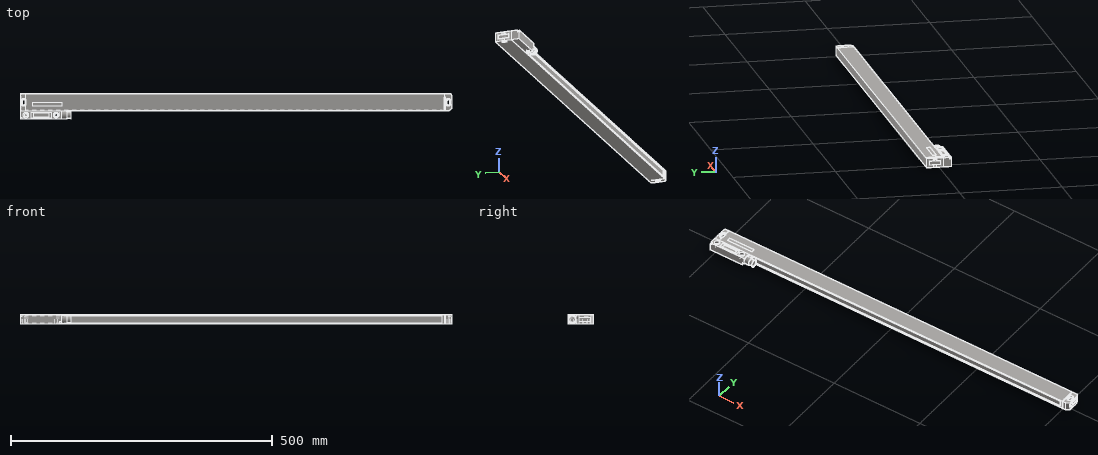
import cadquery as cq

LENGTH = 825.0
HEIGHT = 18.0
SCALE_WIDTH = 33.0
HEAD_WIDTH = 16.0
MID_HEIGHT = HEIGHT / 2
SCALE_MID_Y = SCALE_WIDTH / 2
HEAD_MID_Y = -HEAD_WIDTH / 2

LEFT_CAP = 10.0
RIGHT_CAP = 13.0
SEAM = 0.4
LEFT_CHAMFER_X = 1.0
LEFT_CHAMFER_Y = 5.0
RIGHT_CHAMFER_X = 2.5
RIGHT_CHAMFER_Y = 5.0
FRONT_CHAMFER_X = 7.0

SLOT_LENGTH = 10.0
SLOT_WIDTH = 5.0
SLOT_INSET = 7.0
RIGHT_SLOT_INSET = 7.5
RECESS_LENGTH = 15.0
RECESS_WIDTH = 9.0
RECESS_DEPTH = 3.0

END_GROOVE_LENGTH = 21.5
END_GROOVE_HEIGHT = 7.5
END_RELIEF_WIDTH = 6.0
END_GROOVE_DEPTH = 2.0
END_RELIEF_DEPTH = 0.4
END_RELIEF_MARGIN = 1.0

CHANNEL_LIP = 2.5
CHANNEL_DEPTH = 2.0
CHANNEL_END = 805.0
GAP_LENGTH = 2.0
GAP_DEPTH = 26.0
LABEL_START = 23.0
LABEL_LENGTH = 57.0
LABEL_FRONT = 9.0
LABEL_WIDTH = 7.5
LABEL_DEPTH = 0.4

HEAD_LENGTH = 79.0
HEAD_NOTCH_LENGTH = 4.0
HEAD_NOTCH_HEIGHT = 5.0
HEAD_CORNER = 3.0
HEAD_HOLE_INSET = 11.0
HEAD_HOLE_DIAMETER = 6.0
HEAD_BORE_DIAMETER = 11.0
HEAD_BORE_DEPTH = 7.0
HEAD_BLIND_DEPTH = 15.0
PANEL_START = 21.0
PANEL_LENGTH = 39.0
PANEL_WIDTH = 11.0
PANEL_FLOOR_LENGTH = 29.0
PANEL_FLOOR_WIDTH = 7.5
PANEL_STEP = 1.0

COLLAR_DIAMETER = 16.0
COLLAR_LENGTH = 10.0
NECK_DIAMETER = 12.0
NECK_LENGTH = 7.5
FLANGE_LENGTH = 1.0


def block(x, y, z, dx, dy, dz):
    """Box with its lowest corner at (x, y, z)."""
    return cq.Workplane("XY").box(dx, dy, dz, centered=False).translate((x, y, z))


def slot_cut(x, length, width, depth):
    """Slot lengthwise along Y, cut down from the top at the middle of the scale."""
    return (
        cq.Workplane("XY", origin=(x, SCALE_MID_Y, HEIGHT - depth))
        .slot2D(length, width, 90)
        .extrude(depth)
    )


def scale_blank():
    """Plan outline with chamfered ends, extruded to full height."""
    outline = [
        (0, LEFT_CHAMFER_Y),
        (LEFT_CHAMFER_X, 0),
        (LENGTH - FRONT_CHAMFER_X, 0),
        (LENGTH, RIGHT_CHAMFER_Y),
        (LENGTH, SCALE_WIDTH - RIGHT_CHAMFER_Y),
        (LENGTH - RIGHT_CHAMFER_X, SCALE_WIDTH),
        (LEFT_CHAMFER_X, SCALE_WIDTH),
        (0, SCALE_WIDTH - LEFT_CHAMFER_Y),
    ]
    return cq.Workplane("XY").polyline(outline).close().extrude(HEIGHT)


def seam_cut(x):
    """Fine seam in the top and front faces where a cap meets the extrusion."""
    top = block(x, 0, HEIGHT - SEAM, SEAM, SCALE_WIDTH, SEAM)
    front = block(x, 0, 0, SEAM, SEAM, HEIGHT)
    return top.union(front)


def end_groove_cut(x):
    """Groove along Y at mid height of an end face."""
    return block(
        x, SCALE_MID_Y - END_GROOVE_LENGTH / 2, MID_HEIGHT - END_GROOVE_HEIGHT / 2,
        END_GROOVE_DEPTH, END_GROOVE_LENGTH, END_GROOVE_HEIGHT,
    )


def make_scale():
    body = scale_blank()
    right_cap_x = LENGTH - RIGHT_CAP

    body = body.cut(seam_cut(LEFT_CAP)).cut(seam_cut(right_cap_x - GAP_LENGTH))

    for slot_x in (SLOT_INSET, LENGTH - RIGHT_SLOT_INSET):
        body = body.cut(slot_cut(slot_x, SLOT_LENGTH, SLOT_WIDTH, HEIGHT))
        body = body.cut(slot_cut(slot_x, RECESS_LENGTH, RECESS_WIDTH, RECESS_DEPTH))

    for groove_x in (0, LENGTH - END_GROOVE_DEPTH):
        body = body.cut(end_groove_cut(groove_x))

    end_relief = block(
        0, SCALE_MID_Y - END_RELIEF_WIDTH / 2, END_RELIEF_MARGIN,
        END_RELIEF_DEPTH, END_RELIEF_WIDTH, HEIGHT - 2 * END_RELIEF_MARGIN,
    )
    channel = block(
        LEFT_CAP, 0, CHANNEL_LIP,
        CHANNEL_END - LEFT_CAP, CHANNEL_DEPTH, HEIGHT - 2 * CHANNEL_LIP,
    )
    gap = block(right_cap_x - GAP_LENGTH, 0, 0, GAP_LENGTH, GAP_DEPTH, HEIGHT)
    label = block(
        LABEL_START, LABEL_FRONT, HEIGHT - LABEL_DEPTH,
        LABEL_LENGTH, LABEL_WIDTH, LABEL_DEPTH,
    )
    return body.cut(end_relief).cut(channel).cut(gap).cut(label)


def round_cut(x, diameter, depth):
    """Round hole cut down from the head's top face."""
    return (
        cq.Workplane("XY", origin=(x, HEAD_MID_Y, HEIGHT - depth))
        .circle(diameter / 2)
        .extrude(depth)
    )


def panel_cut(length, width, depth):
    """Rectangular recess in the head's top face, centred on the panel."""
    mid_x = PANEL_START + PANEL_LENGTH / 2
    return block(
        mid_x - length / 2, HEAD_MID_Y - width / 2, HEIGHT - depth,
        length, width, depth,
    )


def cable_outlet():
    """Collar, narrower neck and end flange, all round about one X axis."""
    outlet = (
        cq.Workplane("YZ", origin=(HEAD_LENGTH, HEAD_MID_Y, MID_HEIGHT))
        .circle(COLLAR_DIAMETER / 2)
        .extrude(COLLAR_LENGTH)
    )
    outlet = outlet.faces(">X").workplane().circle(NECK_DIAMETER / 2).extrude(NECK_LENGTH)
    return outlet.faces(">X").workplane().circle(COLLAR_DIAMETER / 2).extrude(FLANGE_LENGTH)


def make_head():
    body = block(0, -HEAD_WIDTH, 0, HEAD_LENGTH, HEAD_WIDTH, HEIGHT)

    end_notch = block(
        HEAD_LENGTH - HEAD_NOTCH_LENGTH, -HEAD_WIDTH, 0,
        HEAD_NOTCH_LENGTH, HEAD_WIDTH, HEAD_NOTCH_HEIGHT,
    )
    corner = block(
        0, -HEAD_WIDTH, HEIGHT - HEAD_CORNER,
        HEAD_CORNER, HEAD_CORNER, HEAD_CORNER,
    )
    body = body.cut(end_notch).cut(corner)

    left_hole_x = HEAD_HOLE_INSET
    right_hole_x = HEAD_LENGTH - HEAD_HOLE_INSET
    for hole_x in (left_hole_x, right_hole_x):
        body = body.cut(round_cut(hole_x, HEAD_BORE_DIAMETER, HEAD_BORE_DEPTH))
    body = body.cut(round_cut(left_hole_x, HEAD_HOLE_DIAMETER, HEAD_BLIND_DEPTH))
    body = body.cut(round_cut(right_hole_x, HEAD_HOLE_DIAMETER, HEIGHT))

    body = body.cut(panel_cut(PANEL_LENGTH, PANEL_WIDTH, PANEL_STEP))
    body = body.cut(panel_cut(PANEL_FLOOR_LENGTH, PANEL_FLOOR_WIDTH, 2 * PANEL_STEP))
    return body.union(cable_outlet())


scale = make_scale()
head = make_head()
result = cq.Compound.makeCompound([scale.val(), head.val()])